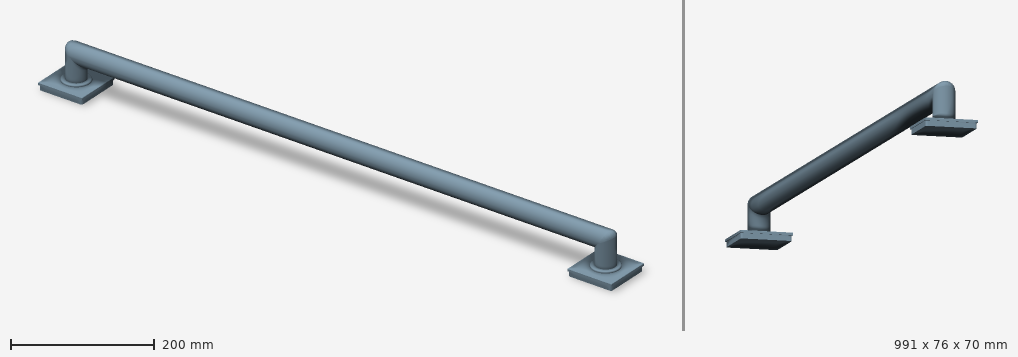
import cadquery as cq

LENGTH = 991.0
HEIGHT = 70.0

PLATE_SIDE = 76.0
PLATE_THICKNESS = 4.0
PLATE_CHAMFER = 0.5
BASE_INSET = 1.0
BASE_THICKNESS = 8.0
BASE_CORNER_RADIUS = 3.0
COLLAR_DIAMETER = 45.0
COLLAR_HEIGHT = 3.0
COLLAR_FILLET = 2.0

TUBE_DIAMETER = 32.0
CORNER_FILLET = 8.0

TUBE_RADIUS = TUBE_DIAMETER / 2
POST_X = (LENGTH - PLATE_SIDE) / 2
BAR_Z = HEIGHT - TUBE_RADIUS
PLATE_TOP = BASE_THICKNESS + PLATE_THICKNESS
EDGE_MARGIN = TUBE_RADIUS / 10


def flange():
    """Square wall flange with its collar, centred under the right-hand post."""
    base_side = PLATE_SIDE - 2 * BASE_INSET
    base = (
        cq.Workplane("XY", origin=(POST_X, 0, 0))
        .rect(base_side, base_side)
        .extrude(BASE_THICKNESS)
        .edges("|Z")
        .fillet(BASE_CORNER_RADIUS)
    )
    plate = (
        cq.Workplane("XY", origin=(POST_X, 0, BASE_THICKNESS))
        .rect(PLATE_SIDE, PLATE_SIDE)
        .extrude(PLATE_THICKNESS)
        .faces(">Z")
        .chamfer(PLATE_CHAMFER)
    )
    collar = (
        cq.Workplane("XY", origin=(POST_X, 0, PLATE_TOP))
        .circle(COLLAR_DIAMETER / 2)
        .extrude(COLLAR_HEIGHT)
        .faces(">Z")
        .edges()
        .fillet(COLLAR_FILLET)
    )
    return base.union(plate).union(collar)


def mitred_tube():
    """Bar and two posts swept in one piece, meeting at sharp mitres."""
    path = cq.Workplane("XZ").polyline(
        [(-POST_X, PLATE_TOP), (-POST_X, BAR_Z), (POST_X, BAR_Z), (POST_X, PLATE_TOP)]
    )
    return (
        cq.Workplane("XY", origin=(-POST_X, 0, PLATE_TOP))
        .circle(TUBE_RADIUS)
        .sweep(path, transition="right")
    )


def outer_block():
    """Block around the part right of the right-hand post axis and above the bar axis."""
    return (
        cq.Workplane("XY", origin=(POST_X, 0, BAR_Z))
        .box(TUBE_DIAMETER, 2 * TUBE_DIAMETER, TUBE_DIAMETER, centered=(False, True, False))
    )


def rounded_corner():
    """Outer quarter of the right-hand mitre, with its curved edge rounded."""
    post = cq.Workplane("XY", origin=(POST_X, 0, BAR_Z)).circle(TUBE_RADIUS).extrude(TUBE_RADIUS)
    bar = cq.Workplane("YZ", origin=(POST_X, 0, BAR_Z)).circle(TUBE_RADIUS).extrude(TUBE_RADIUS)
    corner = post.intersect(bar)
    mitre_edge = cq.selectors.BoxSelector(
        (POST_X + EDGE_MARGIN, -TUBE_DIAMETER, BAR_Z + EDGE_MARGIN),
        (POST_X + TUBE_DIAMETER, TUBE_DIAMETER, BAR_Z + TUBE_DIAMETER),
    )
    return corner.edges(mitre_edge).fillet(CORNER_FILLET)


def both_ends(right_end):
    """The given right-hand shape together with its mirror image at the left-hand end."""
    return right_end.union(right_end.mirror("YZ"))


result = (
    mitred_tube()
    .cut(both_ends(outer_block()))
    .union(both_ends(rounded_corner()))
    .union(both_ends(flange()))
)